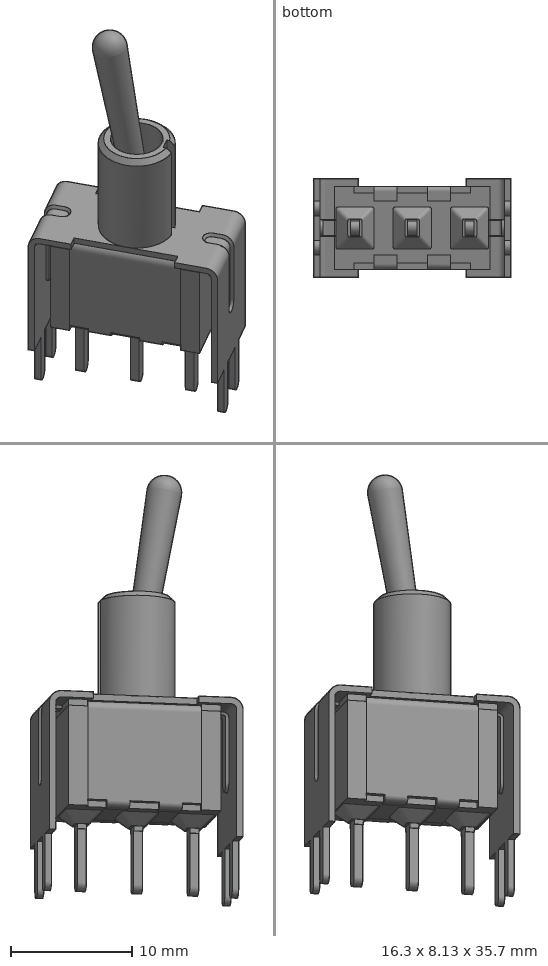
import cadquery as cq
import math

SHEET = 0.54

BRACKET_LENGTH = 16.26
BRACKET_WIDTH = 8.13
BRACKET_BEND = 1.02
BRACKET_SIDE_BOTTOM = -11.7
WAIST_LENGTH = 8.89
WAIST_WIDTH = 6.35
LEG_WIDTH = 1.2
LEG_OFFSET = 1.61
LEG_BOTTOM = -16.37

GROOVE_WIDTH = 1.38
GROOVE_FLOOR_WIDTH = 1.0
GROOVE_DEPTH = 0.25
RIB_WIDTH = 1.42
RIB_FACE_WIDTH = 1.25
GROOVE_TOP_CENTRE = 6.38
GROOVE_SIDE_CENTRE = -6.51

COVER_LENGTH = 12.78
COVER_WIDTH = 6.86
COVER_TOP = -SHEET
COVER_BEND = 0.75
FLANGE_LENGTH = 9.56
FLANGE_BOTTOM = -8.92
TAB_INNER_END = 1.24
TAB_OUTER_END = 3.17
TAB_REACH = 1.2
TAB_BEND = 0.44

CASE_TOP = COVER_TOP - SHEET
CASE_BOTTOM = -9.45
FOOT_BOTTOM = -10.43
FOOT_LENGTH = 1.2
FOOT_WIDTH = 1.5
FOOT_TAPER = 45
FOOT_CORNER_RADIUS = 0.3

PIN_PITCH = 4.72
PIN_POSITIONS = (-PIN_PITCH, 0, PIN_PITCH)
PIN_THICKNESS = 0.76
PIN_WIDTH = 1.2
SHOULDER_WIDTH = 1.4
SHOULDER_BOTTOM = -10.85
PIN_BOTTOM = -16.0

BUSHING_DIAMETER = 6.35
BUSHING_BORE = 4.3
BUSHING_TOP = 8.92
BUSHING_CHAMFER = 0.45
KEYWAY_WIDTH = 1.0
KEYWAY_FLOOR = 2.43

LEVER_TOP = 19.3
LEVER_TILT = 9.4
LEVER_TIP_RADIUS = 1.45
LEVER_ROOT_RADIUS = 1.04
PIVOT_HEIGHT = 3.9


def box(x_min, x_max, y_min, y_max, z_min, z_max):
    """Block between the given limits."""
    size = (x_max - x_min, y_max - y_min, z_max - z_min)
    return cq.Workplane("XY").box(*size, centered=False).translate((x_min, y_min, z_min))


def centred_box(length, width, z_min, z_max):
    """Block centred on the Z axis."""
    return box(-length / 2, length / 2, -width / 2, width / 2, z_min, z_max)


def round_ended_blade(thickness, width, top, bottom):
    """Upright blade, thin along X, whose lower end is a half circle."""
    half = width / 2
    return (
        cq.Workplane("YZ")
        .moveTo(-half, top)
        .lineTo(-half, bottom + half)
        .threePointArc((0, bottom), (half, bottom + half))
        .lineTo(half, top)
        .close()
        .extrude(thickness / 2, both=True)
    )


def u_sheet(offset, width):
    """Solid bounded by the bracket's outer U shape moved inwards by an offset."""
    block = centred_box(BRACKET_LENGTH - 2 * offset, width, BRACKET_SIDE_BOTTOM, -offset)
    return block.edges("|Y and >Z").fillet(BRACKET_BEND - offset)


def pressed_strip(offset, mouth_width, floor_width):
    """Round-ended strip with sloping sides along the bracket's +X bend, at an offset from its outer face."""
    bend_x = BRACKET_LENGTH / 2 - BRACKET_BEND
    half_mouth = mouth_width / 2
    half_floor = floor_width / 2
    mouth_radius = BRACKET_BEND - offset
    floor_radius = mouth_radius - GROOVE_DEPTH
    section = [
        (-half_mouth, mouth_radius),
        (half_mouth, mouth_radius),
        (half_floor, floor_radius),
        (-half_floor, floor_radius),
    ]
    bend_centre = (bend_x, 0, -BRACKET_BEND)
    top_plane = cq.Plane(bend_centre, xDir=(0, 1, 0), normal=(1, 0, 0))
    side_plane = cq.Plane(bend_centre, xDir=(0, 1, 0), normal=(0, 0, -1))
    bend = cq.Workplane(top_plane).polyline(section).close().revolve(90, (0, 0), (1, 0))
    top_run = cq.Workplane(top_plane).polyline(section).close().extrude(GROOVE_TOP_CENTRE - bend_x)
    side_run = cq.Workplane(side_plane).polyline(section).close().extrude(-BRACKET_BEND - GROOVE_SIDE_CENTRE)
    top_centre = cq.Vector(GROOVE_TOP_CENTRE, 0, -offset)
    top_end = cq.Solid.makeCone(half_mouth, half_floor, GROOVE_DEPTH, top_centre, cq.Vector(0, 0, -1))
    side_centre = cq.Vector(BRACKET_LENGTH / 2 - offset, 0, GROOVE_SIDE_CENTRE)
    side_end = cq.Solid.makeCone(half_mouth, half_floor, GROOVE_DEPTH, side_centre, cq.Vector(-1, 0, 0))
    return bend.union(top_run).union(side_run).union(top_end).union(side_end)


def make_bracket():
    bracket = u_sheet(0, BRACKET_WIDTH).cut(u_sheet(SHEET, BRACKET_WIDTH))
    waist_depth = (BRACKET_WIDTH - WAIST_WIDTH) / 2
    for side in (-1, 1):
        notch = centred_box(WAIST_LENGTH, waist_depth, -SHEET, 0)
        bracket = bracket.cut(notch.translate((0, side * (WAIST_WIDTH + waist_depth) / 2, 0)))
        for leg_side in (-1, 1):
            leg = round_ended_blade(SHEET, LEG_WIDTH, BRACKET_SIDE_BOTTOM, LEG_BOTTOM)
            leg_x = side * (BRACKET_LENGTH - SHEET) / 2
            bracket = bracket.union(leg.translate((leg_x, leg_side * LEG_OFFSET, 0)))
    rib = pressed_strip(SHEET, RIB_WIDTH, RIB_FACE_WIDTH)
    groove = pressed_strip(0, GROOVE_WIDTH, GROOVE_FLOOR_WIDTH)
    bracket = bracket.union(rib).union(rib.mirror("YZ"))
    return bracket.cut(groove).cut(groove.mirror("YZ"))


def make_cover(bracket):
    cover = centred_box(COVER_LENGTH, COVER_WIDTH, CASE_TOP, COVER_TOP)
    middle = centred_box(FLANGE_LENGTH, COVER_WIDTH, FLANGE_BOTTOM, COVER_TOP)
    middle = middle.edges("|X and >Z").fillet(COVER_BEND)
    hollow = centred_box(FLANGE_LENGTH, COVER_WIDTH - 2 * SHEET, FLANGE_BOTTOM, CASE_TOP)
    hollow = hollow.edges("|X and >Z").fillet(COVER_BEND - SHEET)
    cover = cover.cut(centred_box(FLANGE_LENGTH, COVER_WIDTH, CASE_TOP, COVER_TOP))
    cover = cover.union(middle.cut(hollow))
    for x_side in (-1, 1):
        x_limits = sorted((x_side * TAB_INNER_END, x_side * TAB_OUTER_END))
        for y_side in (-1, 1):
            cover = cover.union(make_tab(x_limits, y_side))
    return cover.cut(bracket)


def make_tab(x_limits, y_side):
    """Flange tab folded inwards, flush with the underside of the case."""
    outer = y_side * COVER_WIDTH / 2
    tab = box(*x_limits, *sorted((outer, outer - y_side * TAB_REACH)), CASE_BOTTOM, FLANGE_BOTTOM)
    outer_edge = ">Y" if y_side > 0 else "<Y"
    return tab.faces("<Z").edges(outer_edge).fillet(TAB_BEND)


def make_case(cover):
    case = centred_box(COVER_LENGTH, COVER_WIDTH, CASE_BOTTOM, CASE_TOP)
    for side in (-1, 1):
        recess = centred_box(FLANGE_LENGTH, SHEET, CASE_BOTTOM, CASE_TOP)
        case = case.cut(recess.translate((0, side * (COVER_WIDTH - SHEET) / 2, 0)))
    foot_height = CASE_BOTTOM - FOOT_BOTTOM
    foot_spread = 2 * foot_height * math.tan(math.radians(FOOT_TAPER))
    for x in PIN_POSITIONS:
        foot = (
            cq.Workplane("XY", origin=(x, 0, FOOT_BOTTOM))
            .rect(FOOT_LENGTH, FOOT_WIDTH)
            .workplane(offset=foot_height)
            .rect(FOOT_LENGTH + foot_spread, FOOT_WIDTH + foot_spread)
            .loft()
            .edges("not #Z")
            .fillet(FOOT_CORNER_RADIUS)
        )
        case = case.union(foot)
    return case.cut(cover)


def make_pin(x):
    blade = round_ended_blade(PIN_THICKNESS, PIN_WIDTH, FOOT_BOTTOM, PIN_BOTTOM)
    shoulder = centred_box(PIN_THICKNESS, SHOULDER_WIDTH, SHOULDER_BOTTOM, FOOT_BOTTOM)
    return blade.union(shoulder).translate((x, 0, 0))


def make_bushing():
    radius = BUSHING_DIAMETER / 2
    half_key = KEYWAY_WIDTH / 2
    return (
        cq.Workplane("XY")
        .circle(radius)
        .extrude(BUSHING_TOP)
        .faces(">Z")
        .chamfer(BUSHING_CHAMFER)
        .cut(cq.Workplane("XY").circle(BUSHING_BORE / 2).extrude(BUSHING_TOP))
        .cut(box(KEYWAY_FLOOR, radius, -half_key, half_key, 0, BUSHING_TOP))
    )


def make_lever():
    tip_rise = LEVER_TOP - LEVER_TIP_RADIUS - PIVOT_HEIGHT
    length = tip_rise / math.cos(math.radians(LEVER_TILT))
    handle = (
        cq.Workplane("XZ")
        .lineTo(LEVER_ROOT_RADIUS, 0)
        .lineTo(LEVER_TIP_RADIUS, length)
        .radiusArc((0, length + LEVER_TIP_RADIUS), -LEVER_TIP_RADIUS)
        .close()
        .revolve(360, (0, 0, 0), (0, 1, 0))
    )
    ball = cq.Workplane("XY").sphere(BUSHING_BORE / 2)
    lever = ball.union(handle).rotate((0, 0, 0), (0, 1, 0), -LEVER_TILT)
    return lever.translate((0, 0, PIVOT_HEIGHT))


bracket = make_bracket()
cover = make_cover(bracket)
case = make_case(cover)
bushing = make_bushing()
lever = make_lever()
pins = [make_pin(x) for x in PIN_POSITIONS]

bodies = [bracket, cover, case, bushing, lever, *pins]
result = cq.Compound.makeCompound([body.solids().val() for body in bodies])